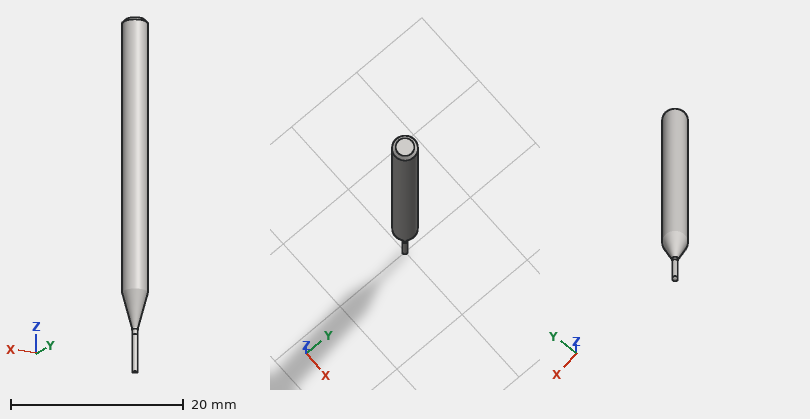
import cadquery as cq

TOTAL_LENGTH = 43.0
SHANK_RADIUS = 3.0 / 2
TIP_RADIUS = 0.7 / 2
END_CHAMFER = 0.45
POINT_HEIGHT = 0.1

CUTTER_TOP = 4.6
COLLAR_BOTTOM = 5.25
TAPER_BOTTOM = 5.45
TAPER_TOP = 9.75

NECK_RADIUS = TIP_RADIUS - 0.01
COLLAR_RADIUS = TIP_RADIUS + 0.02


def make_cutter():
    """Round cutting end with a shallow conical point, turned about the Z axis."""
    half_profile = (
        cq.Workplane("XZ")
        .moveTo(0, 0)
        .lineTo(TIP_RADIUS, POINT_HEIGHT)
        .lineTo(TIP_RADIUS, CUTTER_TOP)
        .lineTo(0, CUTTER_TOP)
        .close()
    )
    return half_profile.revolve(360, (0, 0, 0), (0, 1, 0))


def make_shank():
    """Neck, collar, taper and chamfered shank, turned about the Z axis."""
    half_profile = (
        cq.Workplane("XZ")
        .moveTo(0, CUTTER_TOP)
        .lineTo(NECK_RADIUS, CUTTER_TOP)
        .lineTo(NECK_RADIUS, COLLAR_BOTTOM)
        .lineTo(COLLAR_RADIUS, COLLAR_BOTTOM)
        .lineTo(COLLAR_RADIUS, TAPER_BOTTOM)
        .lineTo(SHANK_RADIUS, TAPER_TOP)
        .lineTo(SHANK_RADIUS, TOTAL_LENGTH - END_CHAMFER)
        .lineTo(SHANK_RADIUS - END_CHAMFER, TOTAL_LENGTH)
        .lineTo(0, TOTAL_LENGTH)
        .close()
    )
    return half_profile.revolve(360, (0, 0, 0), (0, 1, 0))


cutter = make_cutter()
shank = make_shank()

result = cq.Compound.makeCompound([cutter.val(), shank.val()])